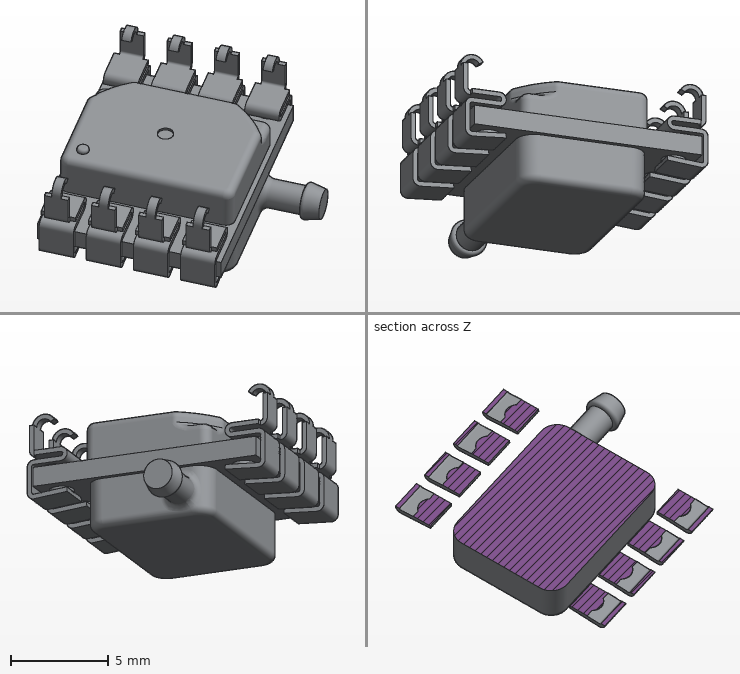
import cadquery as cq
import math

BOARD_X = 9.9
BOARD_Y = 12.5
BOARD_T = 1.03

BODY_X = 9.38
BODY_Y = 6.99
TOP_Z = 3.2
BOTTOM_Z = -2.59
TOP_CORNER_R = 0.5
BOTTOM_CORNER_R = 1.0
EDGE_R = 0.4

LEDGE_Z = 2.32
NOTCH_WALL_R = 5.45
NOTCH_CENTRE_Y = -1.2
NOTCH_FILLET_R = 0.2

DIMPLE_DIA = 0.84
DIMPLE_DEPTH = 0.12
DOT_X = -3.68
DOT_Y = -2.455
DOT_DIA = 0.65
DOT_HEIGHT = 0.2
DOT_ROUND_R = 0.16

BARB_Y = 2.03
BARB_Z = -1.365
TUBE_R = 0.77
BARB_R = 1.035
BARB_TIP_R = 0.8
BARB_START_X = 6.85
BARB_END_X = 7.88
BARB_ROUND_R = 0.19
BARB_ROOT_R = 0.44
BARB_ROOT_X = 3

LEAD_PITCH = 2.54
LEADS_PER_SIDE = 4
LEAD_T = 0.254
BEND_R = LEAD_T
LEAD_SPAN_Y = 13.35
LEAD_OUTER_Y = LEAD_SPAN_Y / 2
CLIP_WIDTH = 1.85
POST_WIDTH = 1.27
HOOK_WIDTH = 0.5
CLIP_BOTTOM_Z = -0.22
CLIP_TIP_Y = 4.45
FOLD_Y = 4.81
POST_TOP_Z = 3.52
HOOK_BEND_R = 0.53
HOOK_ANGLE = 151
LEG_RISE_ANGLE = 4.6

SOLDER_DIA = 1.29
TOP_SOLDER_T = 0.24
BOTTOM_SOLDER_T = 0.35
TOP_SOLDER_Y = 5.515
BOTTOM_SOLDER_Y = 5.125

TOLERANCE = 0.001


def block(size_x, size_y, z_low, z_high):
    """Box centred on X and Y between two heights."""
    return cq.Workplane("XY").box(size_x, size_y, z_high - z_low).translate((0, 0, (z_low + z_high) / 2))


def disc(x, y, z_low, diameter, height):
    return cq.Workplane("XY", origin=(x, y, z_low)).circle(diameter / 2).extrude(height)


def corner_notches():
    """Material outside the arc wall in the two +Y corners, above the ledge."""
    height = TOP_Z - LEDGE_Z
    corners = cq.Workplane("XY")
    for side in (-1, 1):
        corner = cq.Workplane("XY", origin=(0, NOTCH_CENTRE_Y, LEDGE_Z))
        corner = corner.rect(side * BODY_X, BODY_X, centered=False).extrude(height)
        corners = corners.add(corner)
    wall = disc(0, NOTCH_CENTRE_Y, LEDGE_Z, 2 * NOTCH_WALL_R, height)
    return corners.combine().cut(wall)


def is_notch_floor_arc(edge):
    """Arc where a notch wall meets its ledge."""
    box = edge.BoundingBox()
    flat_on_ledge = max(abs(box.zmin - LEDGE_Z), abs(box.zmax - LEDGE_Z)) < TOLERANCE
    return flat_on_ledge and edge.geomType() == "CIRCLE" and edge.radius() > TOP_CORNER_R + TOLERANCE


def is_upper_outer_edge(edge):
    """Edge of the top face, or of an outer side at or above the ledges."""
    box = edge.BoundingBox()
    if box.zmin < LEDGE_Z - TOLERANCE:
        return False
    middle = edge.positionAt(0.5)
    on_top = box.zmin > TOP_Z - TOLERANCE
    on_x_side = abs(abs(middle.x) - BODY_X / 2) < TOLERANCE
    on_y_side = abs(middle.y - BODY_Y / 2) < TOLERANCE
    on_corner = edge.geomType() == "CIRCLE" and abs(edge.radius() - TOP_CORNER_R) < TOLERANCE
    return on_top or on_x_side or on_y_side or on_corner


def upper_body():
    body = block(BODY_X, BODY_Y, BOARD_T, TOP_Z).edges("|Z").fillet(TOP_CORNER_R)
    body = body.cut(corner_notches())
    body = body.edges().filter(is_notch_floor_arc).fillet(NOTCH_FILLET_R)
    body = body.edges().filter(is_upper_outer_edge).fillet(EDGE_R)
    body = body.cut(disc(0, 0, TOP_Z - DIMPLE_DEPTH, DIMPLE_DIA, DIMPLE_DEPTH))
    dot = disc(DOT_X, DOT_Y, TOP_Z, DOT_DIA, DOT_HEIGHT).edges(">Z").fillet(DOT_ROUND_R)
    return body.union(dot)


def tube():
    """Plain stem of the hose barb, rooted inside the lower half."""
    length = BARB_END_X - BARB_ROOT_X
    return cq.Workplane("YZ", origin=(BARB_ROOT_X, BARB_Y, BARB_Z)).circle(TUBE_R).extrude(length)


def barb_head():
    """Tapered ring at the end of the stem, rounded on its holding edge."""
    length = BARB_END_X - BARB_START_X
    outline = (
        cq.Workplane("XY", origin=(BARB_START_X, BARB_Y, BARB_Z))
        .lineTo(0, BARB_R)
        .lineTo(length, BARB_TIP_R)
        .lineTo(length, 0)
        .close()
    )
    head = outline.revolve(360, (0, 0, 0), (1, 0, 0))
    return head.edges("<X").fillet(BARB_ROUND_R)


def is_tube_root(edge):
    """Edge where the stem leaves the side of the lower half."""
    middle = edge.Center()
    near_axis = math.hypot(middle.y - BARB_Y, middle.z - BARB_Z) < TUBE_R
    return near_axis and 0 < middle.x < BODY_X / 2 + TOLERANCE


def lower_body():
    body = block(BODY_X, BODY_Y, BOTTOM_Z, 0).edges("|Z").fillet(BOTTOM_CORNER_R)
    body = body.edges("<Z").fillet(EDGE_R)
    body = body.union(tube())
    body = body.edges().filter(is_tube_root).fillet(BARB_ROOT_R)
    return body.union(barb_head())


def turned(point, centre, angle):
    """Point rotated about a centre by an angle in degrees."""
    cosine = math.cos(math.radians(angle))
    sine = math.sin(math.radians(angle))
    y = point[0] - centre[0]
    z = point[1] - centre[1]
    return (centre[0] + y * cosine - z * sine, centre[1] + y * sine + z * cosine)


def strip(start, heading, moves, width):
    """Bend a strip in the YZ plane, centred on X = 0.

    start is a (y, z) point on the mid-line and heading its direction in degrees from +Y.
    Each move is ("line", length) or ("bend", signed angle, mid-line radius).
    Returns the solid with the end point and end heading, so that another strip can follow on.
    """
    y, z = start
    solid = None
    for kind, amount, *radius in moves:
        along_y = math.cos(math.radians(heading))
        along_z = math.sin(math.radians(heading))
        half = LEAD_T / 2
        left = (y - half * along_z, z + half * along_y)
        right = (y + half * along_z, z - half * along_y)
        section = cq.Workplane("YZ").moveTo(*right)
        if kind == "line":
            step_y = amount * along_y
            step_z = amount * along_z
            section = section.lineTo(right[0] + step_y, right[1] + step_z)
            section = section.lineTo(left[0] + step_y, left[1] + step_z)
            section = section.lineTo(*left).close()
            y += step_y
            z += step_z
        else:
            reach = math.copysign(radius[0], amount)
            centre = (y - reach * along_z, z + reach * along_y)
            right_mid = turned(right, centre, amount / 2)
            left_mid = turned(left, centre, amount / 2)
            section = section.threePointArc(right_mid, turned(right, centre, amount))
            section = section.lineTo(*turned(left, centre, amount))
            section = section.threePointArc(left_mid, left).close()
            y, z = turned((y, z), centre, amount)
            heading += amount
        piece = section.extrude(width / 2, both=True)
        solid = piece if solid is None else solid.union(piece)
    return solid, (y, z), heading


def lead():
    """One lead on the +Y edge of the board with its two solder discs, centred on X = 0."""
    upright_y = LEAD_OUTER_Y - LEAD_T / 2
    bend_y = upright_y - BEND_R
    upper_leg_z = BOARD_T + TOP_SOLDER_T + LEAD_T / 2
    upright_start = (upright_y, CLIP_BOTTOM_Z)
    fold_reach = bend_y - FOLD_Y
    clip, fold_end, heading = strip(
        upright_start,
        90,
        [
            ("line", upper_leg_z - BEND_R - CLIP_BOTTOM_Z),
            ("bend", 90, BEND_R),
            ("line", fold_reach),
            ("bend", -180, BEND_R),
            ("line", fold_reach),
        ],
        CLIP_WIDTH,
    )
    post_height = POST_TOP_Z - fold_end[1] - BEND_R
    post_moves = [("bend", 90, BEND_R), ("line", post_height)]
    post, post_end, heading = strip(fold_end, heading, post_moves, POST_WIDTH)
    hook = strip(post_end, heading, [("bend", HOOK_ANGLE, HOOK_BEND_R)], HOOK_WIDTH)[0]
    leg = strip(
        upright_start,
        -90,
        [("bend", -(90 + LEG_RISE_ANGLE), BEND_R), ("line", bend_y - CLIP_TIP_Y)],
        CLIP_WIDTH,
    )[0]
    top_solder = disc(0, TOP_SOLDER_Y, BOARD_T, SOLDER_DIA, TOP_SOLDER_T)
    bottom_solder = disc(0, BOTTOM_SOLDER_Y, -BOTTOM_SOLDER_T, SOLDER_DIA, BOTTOM_SOLDER_T)
    return clip.union(post).union(hook).union(leg).union(top_solder).union(bottom_solder)


def all_leads():
    one_lead = lead()
    leads = cq.Workplane("XY")
    for index in range(LEADS_PER_SIDE):
        x = (index - (LEADS_PER_SIDE - 1) / 2) * LEAD_PITCH
        placed = one_lead.translate((x, 0, 0))
        leads = leads.add(placed).add(placed.mirror("XZ"))
    return leads.combine()


board = block(BOARD_X, BOARD_Y, 0, BOARD_T)
result = board.union(upper_body()).union(lower_body()).union(all_leads())